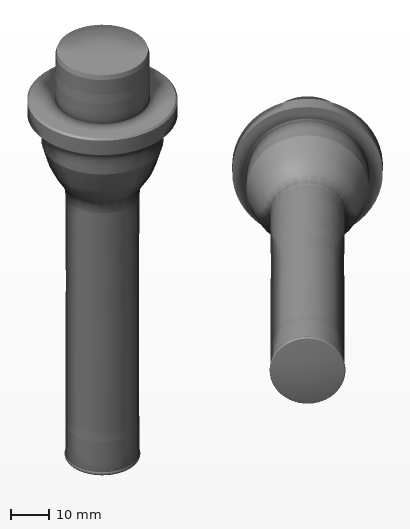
import cadquery as cq

total_height = 128.0

spigot_radius = 25.0 / 2
spigot_lead_radius = 24.7 / 2
spigot_top_radius = spigot_lead_radius - 0.4
lead_chamfer_height = 1.3
spigot_taper_top = 122.0
spigot_taper_bottom = 119.3

flange_radius = 39.5 / 2
flange_top = 113.0
flange_bottom = 108.0
flange_chamfer = 0.5

collar_radius = 32.0 / 2
collar_bottom = 99.4
collar_fillet = 0.5

neck_middle = (12.95, 90.6)
neck_bottom = 83.0
neck_bottom_direction = (0, 1)
neck_top_direction = (0.24, 1)

shaft_radius = 19.5 / 2
relief_radius = 19.3 / 2
upper_band_bottom = 78.0
relief_top = 50.0
relief_bottom = 14.0
lower_band_top = 11.0

cap_thickness = 1.55
dome_height = 0.6
cap_rim_bulge = 0.2


def revolve_about_z(profile):
    """Turn a closed radius-height profile into a solid of revolution about Z."""
    return profile.close().revolve(360, (0, 0, 0), (0, 1, 0))


def make_pillar():
    """Stepped pillar: shaft, neck, collar, flange and spigot in one turned solid."""
    profile = (
        cq.Workplane("XZ")
        .moveTo(0, cap_thickness)
        .lineTo(shaft_radius, cap_thickness)
        .lineTo(shaft_radius, lower_band_top)
        .lineTo(relief_radius, relief_bottom)
        .lineTo(relief_radius, relief_top)
        .lineTo(shaft_radius, upper_band_bottom)
        .lineTo(shaft_radius, neck_bottom)
        .spline(
            [neck_middle, (collar_radius, collar_bottom)],
            tangents=[neck_bottom_direction, neck_top_direction],
            includeCurrent=True,
        )
        .lineTo(collar_radius, flange_bottom - collar_fillet)
        .radiusArc((collar_radius + collar_fillet, flange_bottom), collar_fillet)
        .lineTo(flange_radius, flange_bottom)
        .lineTo(flange_radius, flange_top - flange_chamfer)
        .lineTo(flange_radius - flange_chamfer, flange_top)
        .lineTo(spigot_radius, flange_top)
        .lineTo(spigot_radius, spigot_taper_bottom)
        .lineTo(spigot_lead_radius, spigot_taper_top)
        .lineTo(spigot_lead_radius, total_height - lead_chamfer_height)
        .lineTo(spigot_top_radius, total_height)
        .lineTo(0, total_height)
    )
    return revolve_about_z(profile)


def make_end_cap():
    """Thin disc on the lower end of the shaft, with a bulging rim and a shallow domed underside."""
    dome_sphere_radius = (shaft_radius**2 + dome_height**2) / (2 * dome_height)
    rim_middle = (shaft_radius + cap_rim_bulge, (cap_thickness + dome_height) / 2)
    profile = (
        cq.Workplane("XZ")
        .moveTo(0, cap_thickness)
        .lineTo(shaft_radius, cap_thickness)
        .threePointArc(rim_middle, (shaft_radius, dome_height))
        .radiusArc((0, 0), dome_sphere_radius)
    )
    return revolve_about_z(profile)


pillar = make_pillar()
end_cap = make_end_cap()

result = cq.Compound.makeCompound([pillar.val(), end_cap.val()])